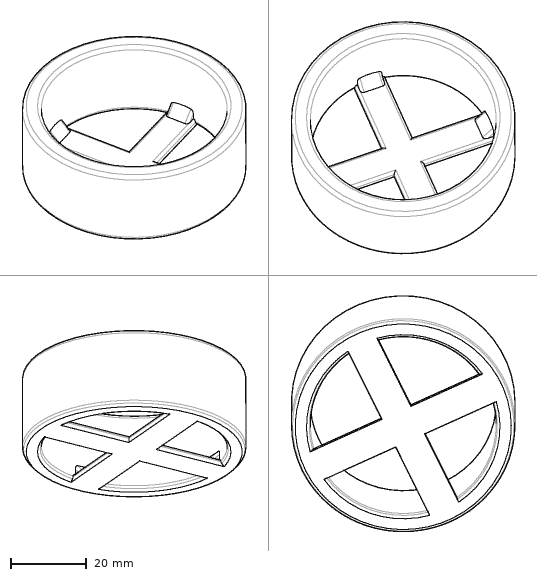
import cadquery as cq

outer_diameter = 59.0
bore_diameter = 49.0
height = 22.0
rim_round = 1.0
foot_chamfer = 1.0
chamfer_blend = 1.0

arm_width = 8.5
arm_height = 2.0
arm_round = 0.75

gusset_width = arm_width - 2 * arm_round
gusset_reach = 3.05
gusset_round = 0.8

outer_radius = outer_diameter / 2
bore_radius = bore_diameter / 2
mid_wall_radius = (outer_radius + bore_radius) / 2


def make_ring():
    """Ring with a rounded rim and a foot whose chamfers blend into both walls."""
    ring = cq.Workplane("XY").circle(outer_radius).circle(bore_radius).extrude(height)
    ring = ring.faces(">Z").edges().fillet(rim_round)
    ring = ring.faces("<Z").edges().chamfer(foot_chamfer)
    chamfer_tops = cq.selectors.BoxSelector(
        (-bore_radius, -bore_radius, foot_chamfer / 2),
        (bore_radius, bore_radius, foot_chamfer * 1.5),
    )
    return ring.edges("%CIRCLE").edges(chamfer_tops).fillet(chamfer_blend)


def make_cross():
    """Two crossing bars, rounded along their upper edges, ending inside the wall."""
    length = 2 * mid_wall_radius
    cross = cq.Workplane("XY")
    for size_x, size_y, along in ((length, arm_width, "|X"), (arm_width, length, "|Y")):
        bar = cq.Workplane("XY").box(size_x, size_y, arm_height, centered=(True, True, False))
        cross = cross.union(bar.faces(">Z").edges(along).fillet(arm_round))
    return cross


def make_gusset(angle):
    """Wedge on one arm, with its two sloping edges rounded, turned about the ring axis."""
    toe = bore_radius - gusset_reach
    top = arm_height + mid_wall_radius - toe
    wedge = (
        cq.Workplane("XZ")
        .moveTo(toe, arm_height)
        .lineTo(mid_wall_radius, top)
        .lineTo(mid_wall_radius, 0)
        .lineTo(toe, 0)
        .close()
        .extrude(gusset_width / 2, both=True)
    )
    slope_edges = wedge.edges("not (#X or #Z)")
    return slope_edges.fillet(gusset_round).rotate((0, 0, 0), (0, 0, 1), angle)


result = make_ring().union(make_cross())
for quarter in range(4):
    result = result.union(make_gusset(90 * quarter))